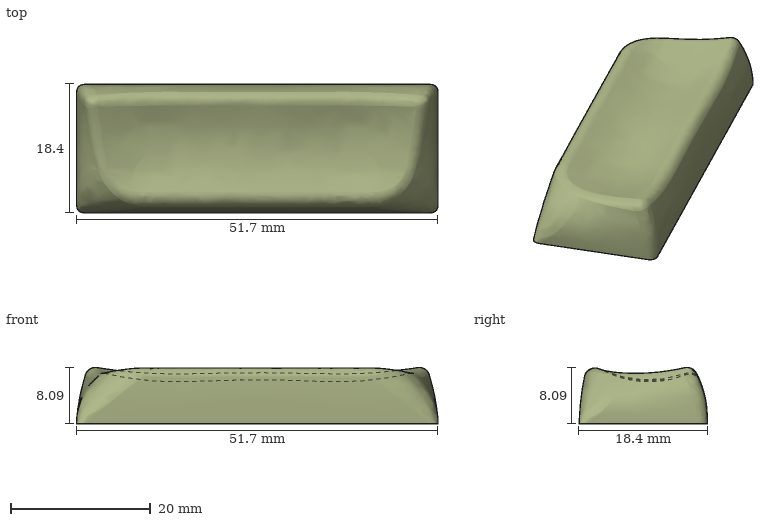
import cadquery as cq

length = 51.7
width = 18.4
half_length = length / 2
half_width = width / 2
straight_half = 16.65
blank_height = 9.3
mid_height = 4.65
rim_round = 1.55

wall_levels = [
    (0.0, -half_width, half_width, half_length, half_length, 1.3, 1.3),
    (mid_height, -8.8, 8.65, 25.3, 24.2, 1.8, 5.15),
    (blank_height, -7.75, 6.3, 24.4, 17.3, 2.05, 4.65),
]

scoop_front_y = -6.45
scoop_back_y = 6.25
scoop_half_width = 11.35
scoop_top = 15.5
middle_scoop = (7.95, 6.3, 7.3)
scoop_stations = [
    (straight_half, *middle_scoop),
    (20.65, 7.95, 7.0, 7.75),
    (26.85, 8.35, 8.1, 8.7),
]


def toward(start, end, distance):
    """Point at a distance from start along the line to end."""
    direction = (end - start).normalized()
    return start + direction * distance


def wall_outline(height, front, back, back_half, front_half, back_corner, front_corner):
    """Closed trapezoid outline with curved corners at one height."""
    corners = [
        (cq.Vector(-front_half, front, height), front_corner),
        (cq.Vector(front_half, front, height), front_corner),
        (cq.Vector(back_half, back, height), back_corner),
        (cq.Vector(-back_half, back, height), back_corner),
    ]
    edges = []
    for index, (corner, size) in enumerate(corners):
        previous_corner = corners[index - 1][0]
        next_corner, next_size = corners[(index + 1) % len(corners)]
        curve_start = toward(corner, previous_corner, size)
        curve_end = toward(corner, next_corner, size)
        next_start = toward(next_corner, corner, next_size)
        edges.append(cq.Edge.makeBezier([curve_start, corner, curve_end]))
        edges.append(cq.Edge.makeLine(curve_end, next_start))
    return cq.Wire.assembleEdges(edges)


def scoop_outline(x, front_z, middle_z, back_z):
    """Closed section of the scoop: a parabola through three heights, open upward."""
    slope = (back_z - front_z) / (scoop_back_y - scoop_front_y)
    chord_z = front_z - slope * scoop_front_y
    bend = (middle_z - chord_z) / (scoop_front_y * scoop_back_y)

    def floor(y):
        return chord_z + slope * y + bend * (y - scoop_front_y) * (y - scoop_back_y)

    reach = scoop_half_width
    control_z = 2 * floor(0) - (floor(-reach) + floor(reach)) / 2
    start = cq.Vector(x, -reach, floor(-reach))
    end = cq.Vector(x, reach, floor(reach))
    top_end = cq.Vector(x, reach, scoop_top)
    top_start = cq.Vector(x, -reach, scoop_top)
    return cq.Wire.assembleEdges([
        cq.Edge.makeBezier([start, cq.Vector(x, 0, control_z), end]),
        cq.Edge.makeLine(end, top_end),
        cq.Edge.makeLine(top_end, top_start),
        cq.Edge.makeLine(top_start, start),
    ])


def make_scoop():
    """Constant scoop in the middle, rising toward both ends."""
    stations = [(-x, *heights) for x, *heights in reversed(scoop_stations)]
    stations.append((0.0, *middle_scoop))
    stations += scoop_stations
    return cq.Solid.makeLoft([scoop_outline(*station) for station in stations])


body = cq.Solid.makeLoft([wall_outline(*level) for level in wall_levels])
scooped = cq.Workplane(body).cut(cq.Workplane(make_scoop()))
probe = 2.6
floor_zone = cq.selectors.BoxSelector((-probe, -probe, mid_height), (probe, probe, blank_height))
result = scooped.faces(floor_zone).edges().fillet(rim_round)